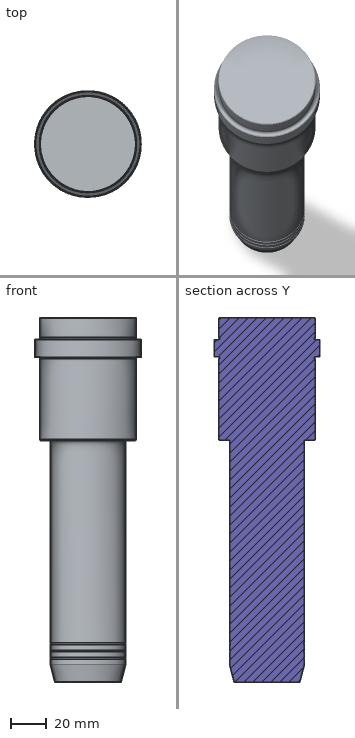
import cadquery as cq

total_length = 203.0
head_diameter = 54.0
flange_diameter = 59.0
shaft_diameter = 42.0

head_length = 68.5
head_bottom = total_length - head_length
cap_length = 12.0
flange_top = total_length - cap_length
flange_thickness = 10.0
flange_bottom = flange_top - flange_thickness
nose_length = 10.2
nose_end_diameter = 37.0

nose_chamfer = 0.5
head_chamfer = 0.8
rim_chamfer = 0.5
flange_chamfer = 0.5

groove_radius = 0.5
shaft_groove_count = 3
first_shaft_groove_z = 13.4
shaft_groove_pitch = 4.0


def cylinder(diameter, bottom, top):
    """Solid cylinder on the Z axis between two heights."""
    return cq.Workplane("XY").workplane(offset=bottom).circle(diameter / 2).extrude(top - bottom)


def ring_groove(diameter, height):
    """Torus that cuts a half-round groove around a cylinder at the given height."""
    return (
        cq.Workplane("XZ")
        .center(diameter / 2, height)
        .circle(groove_radius)
        .revolve(360, (-diameter / 2, 0), (-diameter / 2, 1))
    )


def make_shaft():
    """Shaft with a conical nose and ring grooves just above it."""
    shaft_radius = shaft_diameter / 2
    nose_radius = nose_end_diameter / 2
    shaft = (
        cq.Workplane("XZ")
        .polyline([
            (0, 0),
            (nose_radius - nose_chamfer, 0),
            (nose_radius, nose_chamfer),
            (shaft_radius, nose_length),
            (shaft_radius, head_bottom),
            (0, head_bottom),
        ])
        .close()
        .revolve(360, (0, 0), (0, 1))
    )
    for index in range(shaft_groove_count):
        groove_z = first_shaft_groove_z + index * shaft_groove_pitch
        shaft = shaft.cut(ring_groove(shaft_diameter, groove_z))
    return shaft


def make_head():
    """Head with chamfered ends and a relief groove on each side of its flange."""
    body = cylinder(head_diameter, head_bottom, total_length)
    body = body.edges("<Z").chamfer(head_chamfer)
    body = body.edges(">Z").chamfer(rim_chamfer)
    for groove_z in (flange_bottom - groove_radius, flange_top + groove_radius):
        body = body.cut(ring_groove(head_diameter, groove_z))
    flange = cylinder(flange_diameter, flange_bottom, flange_top).edges(">Z").chamfer(flange_chamfer)
    return body.union(flange)


result = make_shaft().union(make_head())